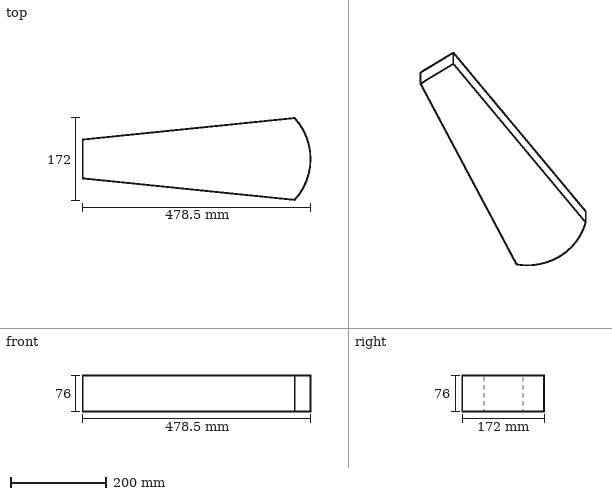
import cadquery as cq
import math

length = 478.5
wide_width = 172.0
narrow_width = 82.0
thickness = 76.0
end_radius = 127.0

arc_center_x = length - end_radius
half_wide = wide_width / 2
half_narrow = narrow_width / 2
corner_x = arc_center_x + math.sqrt(end_radius**2 - half_wide**2)

result = (
    cq.Workplane("XY")
    .moveTo(0, -half_narrow)
    .lineTo(corner_x, -half_wide)
    .threePointArc((length, 0), (corner_x, half_wide))
    .lineTo(0, half_narrow)
    .close()
    .extrude(thickness)
)